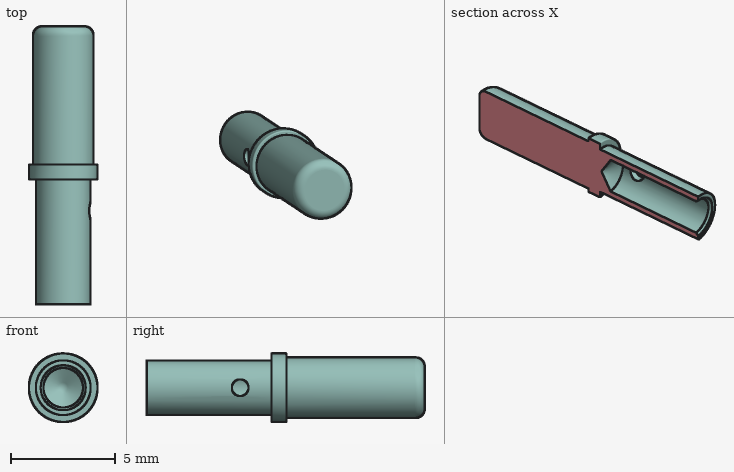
import cadquery as cq

length = 13.28
collar_start = 5.95
collar_width = 0.73
collar_end = collar_start + collar_width

barrel_diameter = 2.62
collar_diameter = 3.3
body_diameter = 2.91
collar_edge_radius = 0.07
tip_radius = 0.45

bore_diameter = 1.89
mouth_diameter = 2.15
mouth_chamfer_depth = (mouth_diameter - bore_diameter) / 2
bore_depth = 5.31
drill_point_depth = 0.55

inspection_diameter = 0.8
inspection_position = 4.46


def cylinder(diameter, start, end):
    """Solid cylinder about the Y axis, from Y = start to Y = end."""
    plane = cq.Workplane("XZ", origin=(0, start, 0))
    return plane.circle(diameter / 2).extrude(start - end)


def make_bore():
    """Chamfered bore with a conical drill point, revolved about the Y axis."""
    bore_radius = bore_diameter / 2
    profile = (
        cq.Workplane("XY")
        .lineTo(mouth_diameter / 2, 0)
        .lineTo(bore_radius, mouth_chamfer_depth)
        .lineTo(bore_radius, bore_depth)
        .lineTo(0, bore_depth + drill_point_depth)
        .close()
    )
    return profile.revolve(360, (0, 0, 0), (0, 1, 0))


def make_inspection_hole():
    """Radial cutter from the axis out through the +X wall only."""
    plane = cq.Workplane("YZ").center(inspection_position, 0)
    return plane.circle(inspection_diameter / 2).extrude(barrel_diameter)


barrel = cylinder(barrel_diameter, 0, collar_start)
collar = cylinder(collar_diameter, collar_start, collar_end).edges().fillet(collar_edge_radius)
body = cylinder(body_diameter, collar_end, length).faces(">Y").edges().fillet(tip_radius)

result = barrel.union(collar).union(body).cut(make_bore()).cut(make_inspection_hole())